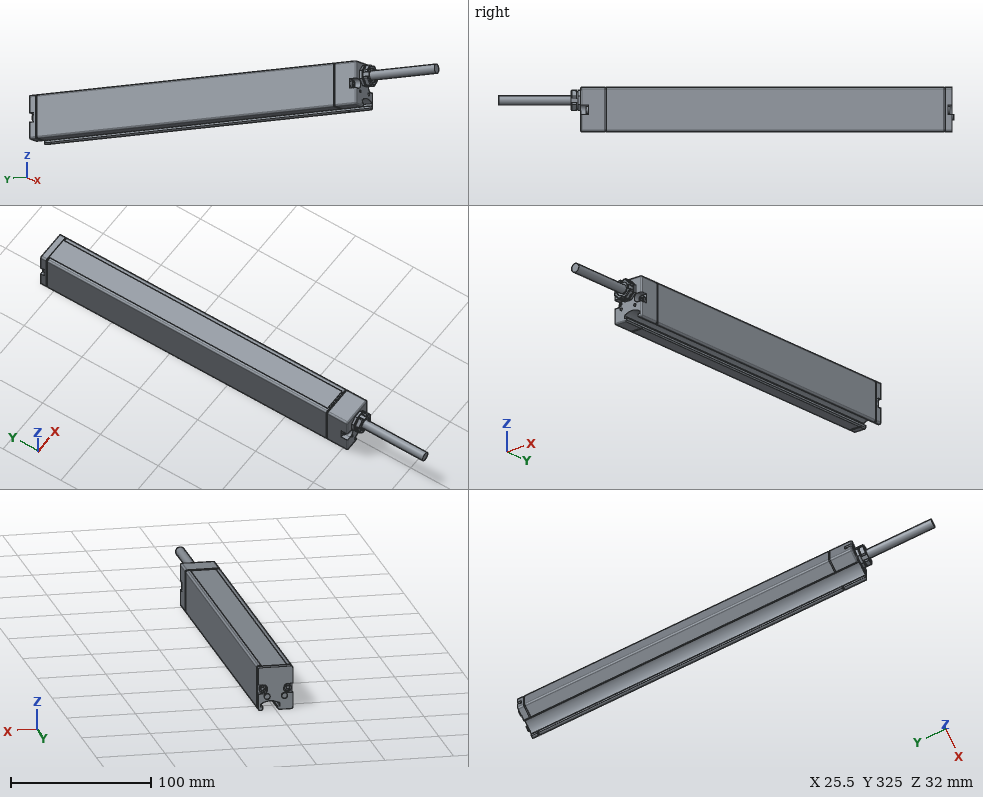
import cadquery as cq
import math


width = 25.5
height = 32.0
front_cap_length = 18.0
profile_length = 242.2
rear_cap_length = 5.2
housing_length = front_cap_length + profile_length + rear_cap_length
edge_radius = 1.3
front_rim_radius = 1.0

joint_width = 1.0
joint_depth = 0.3

window_width = 18.5
window_depth = 0.3
window_end_gap = 1.5

channel_x = 4.0
channel_width = 14.3
channel_height = 6.8
channel_wall_top = 4.5
channel_mouth = 10.7
lip_height = 2.5
lip_chamfer = 1.0

notch_width = 6.8
notch_reach = 6.8
notch_z = height - 16.3
screw_x = width / 2 - notch_reach + notch_width / 2
front_notch_depth = 5.5
rear_notch_depth = 3.0
screw_diameter = 5.0
screw_head_height = 1.5
socket_diameter = 2.5
socket_depth = 1.0

fixing_spacing = 12.7
fixing_x = fixing_spacing / 2
fixing_z = height - 21.5
hole_diameter = 2.0
hole_depth = 3.3
button_diameter = 4.2
button_height = 1.3

cable_z = height - 9.5
cable_diameter = 6.8
total_length = 325.0
cable_end_y = housing_length + button_height - total_length
gland_sides = 8
gland_flats = 14.5
gland_length = 6.8
gland_chamfer = 0.5
groove_start = 2.0
groove_width = 1.0
groove_diameter = 13.0
slot_width = 3.3
slot_depth = 1.0
recess_diameter = 10.5
recess_depth = 1.0

SIDES = (-1, 1)


def box(x_size, y_range, z_range):
    """Box centred on x = 0 between two Y values and two Z values."""
    y_size = y_range[1] - y_range[0]
    z_size = z_range[1] - z_range[0]
    block = cq.Workplane("XY").box(x_size, y_size, z_size, centered=(True, False, False))
    return block.translate((0, y_range[0], z_range[0]))


def rod(x, z, diameter, y_start, y_end):
    """Cylinder along +Y from y_start to y_end."""
    axis_start = cq.Vector(x, y_start, z)
    return cq.Workplane(cq.Solid.makeCylinder(diameter / 2, y_end - y_start, axis_start, cq.Vector(0, 1, 0)))


def make_blank():
    """Plain bar with rounded long edges and a rounded front rim; the rear rim stays sharp."""
    blank = box(width, (0, housing_length), (0, height))
    blank = blank.edges("|Y").fillet(edge_radius)
    return blank.faces("<Y").edges().fillet(front_rim_radius)


def make_joint(y):
    """Ring that cuts a shallow groove around the housing."""
    y_range = (y - joint_width / 2, y + joint_width / 2)
    core = box(width - 2 * joint_depth, y_range, (joint_depth, height - joint_depth))
    core = core.edges("|Y").fillet(edge_radius)
    return box(width, y_range, (0, height)).cut(core)


def make_window():
    y_start = front_cap_length + window_end_gap
    y_end = front_cap_length + profile_length
    return box(window_width, (y_start, y_end), (height - window_depth, height))


def make_channel():
    """Channel with an arched ceiling and a narrower, flared mouth."""
    cavity_x = channel_width / 2
    mouth_x = channel_mouth / 2
    flare_x = mouth_x + lip_chamfer
    return (
        cq.Workplane("XZ")
        .moveTo(-flare_x, 0)
        .lineTo(-mouth_x, lip_chamfer)
        .lineTo(-mouth_x, lip_height)
        .lineTo(-cavity_x, lip_height)
        .lineTo(-cavity_x, channel_wall_top)
        .threePointArc((0, channel_height), (cavity_x, channel_wall_top))
        .lineTo(cavity_x, lip_height)
        .lineTo(mouth_x, lip_height)
        .lineTo(mouth_x, lip_chamfer)
        .lineTo(flare_x, 0)
        .close()
        .extrude(-housing_length)
        .translate((channel_x, 0, 0))
    )


def make_notch(side, y_start, y_end):
    """Slot with a round inner end, open at the side of the housing."""
    z_range = (notch_z - notch_width / 2, notch_z + notch_width / 2)
    open_part = box(2 * (width / 2 - screw_x), (y_start, y_end), z_range)
    open_part = open_part.translate((side * width / 2, 0, 0))
    return open_part.union(rod(side * screw_x, notch_z, notch_width, y_start, y_end))


def add_front_screw(housing, side):
    """Screw notch in the front cap, with the screw head standing on its floor."""
    head_top = front_notch_depth - screw_head_height
    notch = make_notch(side, 0, front_notch_depth)
    head = rod(side * screw_x, notch_z, screw_diameter, head_top, front_notch_depth)
    socket = rod(side * screw_x, notch_z, socket_diameter, head_top, head_top + socket_depth)
    return housing.cut(notch).union(head).cut(socket)


def add_rear_screw(housing, side):
    """Shallower screw notch in the rear cap, with the screw head facing +Y."""
    floor = housing_length - rear_notch_depth
    head_top = floor + screw_head_height
    notch = make_notch(side, floor, housing_length)
    head = rod(side * screw_x, notch_z, screw_diameter, floor, head_top)
    socket = rod(side * screw_x, notch_z, socket_diameter, head_top - socket_depth, head_top)
    return housing.cut(notch).union(head).cut(socket)


def make_housing():
    housing = make_blank().cut(make_window()).cut(make_channel())
    for y in (front_cap_length, front_cap_length + profile_length):
        housing = housing.cut(make_joint(y))
    for side in SIDES:
        housing = add_front_screw(housing, side)
        housing = add_rear_screw(housing, side)
        hole = rod(side * fixing_x, fixing_z, hole_diameter, 0, hole_depth)
        button_end = housing_length + button_height
        button = rod(side * fixing_x, fixing_z, button_diameter, housing_length, button_end)
        housing = housing.cut(hole).union(button)
    return housing


def make_gland():
    """Octagonal gland with a ring groove, a slot in each cross-wise flat and a recess round the cable."""
    corner_diameter = gland_flats / math.cos(math.pi / gland_sides)
    gland = cq.Workplane("XZ").polygon(gland_sides, corner_diameter).extrude(gland_length)
    gland = gland.rotate((0, 0, 0), (0, 1, 0), 180 / gland_sides)
    gland = gland.faces("<Y").chamfer(gland_chamfer)

    groove = cq.Workplane("XZ").circle(corner_diameter).circle(groove_diameter / 2).extrude(groove_width)
    gland = gland.cut(groove.translate((0, -groove_start, 0)))

    slot_z = (gland_flats / 2 - slot_depth, gland_flats / 2)
    slot = box(slot_width, (-gland_length, -groove_start), slot_z)
    for angle in (0, 90, 180, 270):
        gland = gland.cut(slot.rotate((0, 0, 0), (0, 1, 0), angle))

    recess = rod(0, 0, recess_diameter, -gland_length, -gland_length + recess_depth)
    return gland.cut(recess).translate((0, 0, cable_z))


def make_cable():
    """Cable and gland as one body that sits on the front face of the housing."""
    return make_gland().union(rod(0, cable_z, cable_diameter, cable_end_y, 0))


housing = make_housing()
cable = make_cable()
result = cq.Compound.makeCompound([housing.val(), cable.val()])